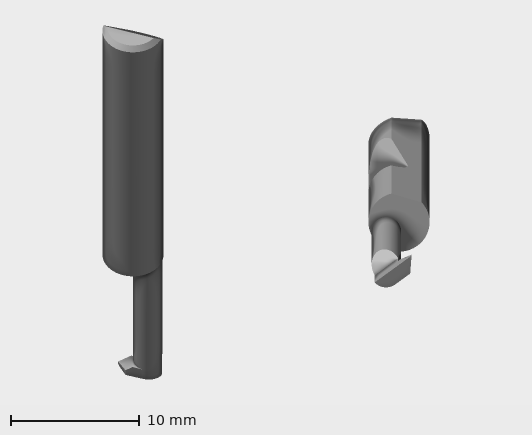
import cadquery as cq
import math

TOTAL_LENGTH = 38.1
SHANK_DIAMETER = 4.76
SHANK_LENGTH = 25.4
SHANK_RADIUS = SHANK_DIAMETER / 2
SHANK_BOTTOM = TOTAL_LENGTH - SHANK_LENGTH

TOP_CHAMFER = 0.38
TOP_BEVEL_ANGLE = 45
TOP_BEVEL_START_Y = -0.62
FLAT_DISTANCE = 2.04
FLAT_DIRECTION = 144
NOTCH_LOWER_Z = 21.08
NOTCH_RADIUS = 1.27
NOTCH_RAMP_ANGLE = 9.4

NECK_DIAMETER = 2.3
NECK_RADIUS = NECK_DIAMETER / 2
NECK_X = SHANK_RADIUS - NECK_RADIUS
CHIP_FACE_TOP_Z = 2.15
CHIP_RAMP_ANGLE = 45

TIP_X = -1.23
TIP_LAND_TOP_Z = 0.34
RELIEF_CORNER_X = -0.22
HOOK_HEIGHT = 1.36
HOOK_BACK_ANGLE = 43
HOOK_BACK_RELIEF = 22
END_CLEARANCE = 1.5
END_RELIEF = 13
NOSE_SETBACK = 0.25
NOSE_ANGLE = 15

CUTTER_SIZE = 4 * TOTAL_LENGTH


def tangent(degrees):
    return math.tan(math.radians(degrees))


def half_space(point, normal):
    """Large block filling the side of a plane that the normal points to."""
    plane = cq.Plane(origin=point, normal=normal)
    return cq.Workplane(plane).rect(CUTTER_SIZE, CUTTER_SIZE).extrude(CUTTER_SIZE)


def cross_prism(profile):
    """Extrude a closed YZ outline right across the part."""
    return profile.close().extrude(SHANK_RADIUS, both=True)


def make_notch():
    """Clamping notch: a round at its lower end and a shallow tangent ramp above it."""
    ramp = math.radians(NOTCH_RAMP_ANGLE)
    center_y = SHANK_RADIUS
    center_z = NOTCH_LOWER_Z + NOTCH_RADIUS
    ramp_top_z = center_z + NOTCH_RADIUS / math.sin(ramp)

    def on_round(angle):
        return (
            center_y + NOTCH_RADIUS * math.cos(angle),
            center_z + NOTCH_RADIUS * math.sin(angle),
        )

    start_angle = -math.pi / 2
    end_angle = -math.pi - ramp
    outline = (
        cq.Workplane("YZ")
        .moveTo(*on_round(start_angle))
        .threePointArc(on_round((start_angle + end_angle) / 2), on_round(end_angle))
        .lineTo(center_y, ramp_top_z)
    )
    return cross_prism(outline)


def make_shank():
    shank = (
        cq.Workplane("XY", origin=(0, 0, SHANK_BOTTOM))
        .circle(SHANK_RADIUS)
        .extrude(SHANK_LENGTH)
        .faces(">Z")
        .chamfer(TOP_CHAMFER)
    )
    bevel = half_space((0, TOP_BEVEL_START_Y, TOTAL_LENGTH), (0, tangent(TOP_BEVEL_ANGLE), 1))
    direction = math.radians(FLAT_DIRECTION)
    flat_normal = (math.cos(direction), math.sin(direction), 0)
    flat_point = tuple(FLAT_DISTANCE * component for component in flat_normal)
    return shank.cut(bevel).cut(half_space(flat_point, flat_normal)).cut(make_notch())


def make_neck():
    neck = cq.Workplane("XY").center(NECK_X, 0).circle(NECK_RADIUS).extrude(SHANK_BOTTOM)
    ramp_height = NECK_RADIUS / tangent(CHIP_RAMP_ANGLE)
    chip_space = cross_prism(
        cq.Workplane("YZ")
        .moveTo(0, 0)
        .lineTo(0, CHIP_FACE_TOP_Z)
        .lineTo(NECK_RADIUS, CHIP_FACE_TOP_Z + ramp_height)
        .lineTo(NECK_RADIUS, 0)
    )
    return neck.cut(chip_space)


def make_hook():
    hook = (
        cq.Workplane("XY")
        .moveTo(TIP_X, 0)
        .lineTo(RELIEF_CORNER_X, -NECK_RADIUS)
        .lineTo(NECK_X, -NECK_RADIUS)
        .lineTo(NECK_X, 0)
        .close()
        .extrude(HOOK_HEIGHT)
    )
    back_normal = (-tangent(HOOK_BACK_ANGLE), -tangent(HOOK_BACK_RELIEF), 1)
    return hook.cut(half_space((TIP_X, 0, TIP_LAND_TOP_Z), back_normal))


def relieve_end(body):
    """Slope the end face and bevel the nose, both passing through the lowest tip point."""
    nose_point = (TIP_X + NOSE_SETBACK, 0, 0)
    end_normal = (tangent(END_CLEARANCE), -tangent(END_RELIEF), -1)
    nose_normal = (-tangent(NOSE_ANGLE), -tangent(END_RELIEF), -1)
    return body.cut(half_space(nose_point, end_normal)).cut(half_space(nose_point, nose_normal))


cutting_end = relieve_end(make_neck().union(make_hook()))
result = make_shank().union(cutting_end)